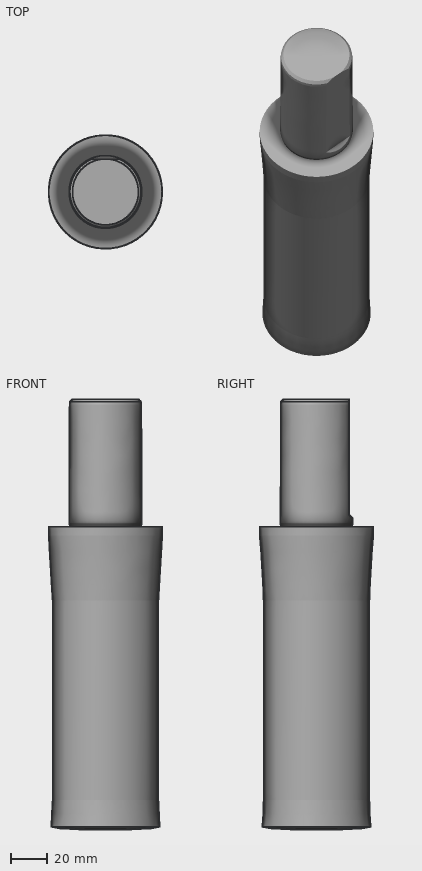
import cadquery as cq

TOTAL_HEIGHT = 237.0

TUBE_RADIUS = 58.3 / 2
HEAD_RADIUS = 62.5 / 2
FOOT_RADIUS = 29.9
BASE_RADIUS = 11.5
BASE_RING_RADIUS = 25.1
BASE_RING_HEIGHT = 0.7
BASE_HEIGHT = 1.7
FOOT_TOP = 16.4
HEAD_BOTTOM = 126.0
RIM_HEIGHT = 5.0
HOUSING_TOP = 166.8

SHAFT_TOP_RADIUS = 39.5 / 2
SHAFT_BOTTOM_RADIUS = 40.0 / 2
LOWER_BEVEL_WIDTH = 0.2
LOWER_BEVEL_HEIGHT = 1.7
UPPER_BEVEL = 1.5
BOTTOM_BEVEL_WIDTH = 0.5
BOTTOM_BEVEL_HEIGHT = 2.0

FLAT_DISTANCE = 18.0
FLAT_BOTTOM = HOUSING_TOP + 6.5
CUT_MARGIN = 2.4


def revolve_about_z(profile):
    """Revolve a closed radius-height profile, drawn on XZ, around the Z axis."""
    return profile.close().revolve(360, (0, 0, 0), (0, 1, 0))


def make_housing():
    profile = (
        cq.Workplane("XZ")
        .moveTo(0, 0)
        .lineTo(BASE_RADIUS, 0)
        .lineTo(BASE_RING_RADIUS, BASE_RING_HEIGHT)
        .lineTo(FOOT_RADIUS, BASE_HEIGHT)
        .lineTo(TUBE_RADIUS, FOOT_TOP)
        .lineTo(TUBE_RADIUS, HEAD_BOTTOM)
        .lineTo(HEAD_RADIUS, HOUSING_TOP - RIM_HEIGHT)
        .lineTo(HEAD_RADIUS, HOUSING_TOP)
        .lineTo(0, HOUSING_TOP)
    )
    return revolve_about_z(profile)


def make_flat_cutter():
    """Prism that trims the shaft to the flat and leaves a 45 degree ramp below it."""
    outer_y = SHAFT_BOTTOM_RADIUS + CUT_MARGIN
    ramp_end = FLAT_BOTTOM - (outer_y - FLAT_DISTANCE)
    return (
        cq.Workplane("YZ")
        .moveTo(FLAT_DISTANCE, FLAT_BOTTOM)
        .lineTo(outer_y, ramp_end)
        .lineTo(outer_y, TOTAL_HEIGHT + CUT_MARGIN)
        .lineTo(FLAT_DISTANCE, TOTAL_HEIGHT + CUT_MARGIN)
        .close()
        .extrude(SHAFT_BOTTOM_RADIUS, both=True)
    )


def make_shaft():
    upper_bevel_start = TOTAL_HEIGHT - UPPER_BEVEL
    lower_bevel_start = upper_bevel_start - LOWER_BEVEL_HEIGHT
    middle_radius = SHAFT_TOP_RADIUS - LOWER_BEVEL_WIDTH
    profile = (
        cq.Workplane("XZ")
        .moveTo(0, HOUSING_TOP)
        .lineTo(SHAFT_BOTTOM_RADIUS - BOTTOM_BEVEL_WIDTH, HOUSING_TOP)
        .lineTo(SHAFT_BOTTOM_RADIUS, HOUSING_TOP + BOTTOM_BEVEL_HEIGHT)
        .lineTo(SHAFT_TOP_RADIUS, lower_bevel_start)
        .lineTo(middle_radius, upper_bevel_start)
        .lineTo(middle_radius - UPPER_BEVEL, TOTAL_HEIGHT)
        .lineTo(0, TOTAL_HEIGHT)
    )
    return revolve_about_z(profile).cut(make_flat_cutter())


housing = make_housing()
shaft = make_shaft()

result = cq.Compound.makeCompound([housing.val(), shaft.val()])